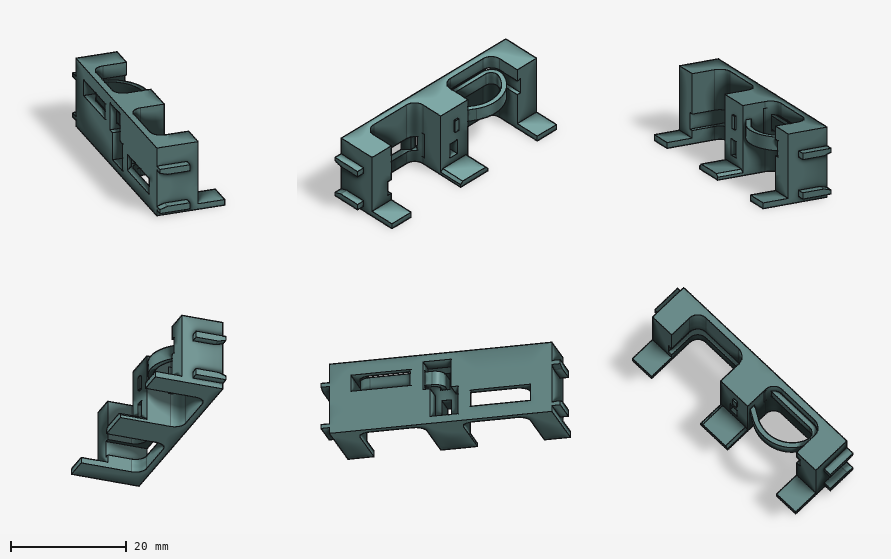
import cadquery as cq
import math

overall_length = 42.7
overall_depth = 12.5
height = 12.85
mid_z = height / 2

body_length = 39.7
body_depth = 7.6
front_wall = 1.25
side_leg_width = 4.65
middle_leg_width = 6.58
bay_corner_radius = 2.0
bay_width = (body_length - middle_leg_width) / 2 - side_leg_width
bay_center_x = (middle_leg_width + bay_width) / 2

foot_thickness = 1.05
middle_foot_chamfer = 0.5

tab_width = (overall_length - body_length) / 2
tab_length = 5.55
tab_thickness = 1.15
tab_bottom_z = foot_thickness
upper_tab_top_z = 9.45
tab_lead_length = 1.4
tab_lead_drop = 0.43

opening_height = 3.0
opening_offset_z = 2.48
window_length = 10.6
window_center_x = 10.7

pocket_width = 5.0
pocket_height = 5.12
pocket_depth = 3.5
pocket_offset_x = 0.65
pin_slot_width = 1.7
pin_slot_offset_x = 0.13
blind_slot_skin = 0.85

strip_thickness = 0.9
strip_height = 2.48
pin_right_x = 0.1
pin_tip_overhang = 0.3
pin_bend_outer_radius = 1.92
spring_left_x = -15.15
corner_outer_radius = 2.2
loop_outer_radius = 6.95
loop_top_y = 8.9
arm_slope = math.radians(30)
arm_embed = 0.43


def box(x_min, x_max, y_min, y_max, z_min, z_max):
    """Block between the given limits."""
    size = (x_max - x_min, y_max - y_min, z_max - z_min)
    return cq.Workplane("XY").box(*size, centered=False).translate((x_min, y_min, z_min))


def opening(center_x, width, y_min, y_max, side):
    """Opening above mid height for side -1, below it for side +1."""
    center_z = mid_z - side * opening_offset_z
    return box(
        center_x - width / 2, center_x + width / 2, y_min, y_max,
        center_z - opening_height / 2, center_z + opening_height / 2,
    )


def make_body():
    """Block with two bays open to the back, rounded where they meet the front wall."""
    body = box(-body_length / 2, body_length / 2, 0, body_depth, 0, height)
    for side in (-1, 1):
        bay = box(
            -bay_width / 2, bay_width / 2, front_wall, overall_depth, 0, height
        ).edges("|Z and <Y").fillet(bay_corner_radius)
        body = body.cut(bay.translate((side * bay_center_x, 0, 0)))
    return body


def make_feet():
    """Flat feet behind the legs; the middle one has chamfered top edges."""
    leg_back = body_depth
    side_start = body_length / 2 - side_leg_width
    feet = box(side_start, body_length / 2, leg_back, overall_depth, 0, foot_thickness)
    feet = feet.union(feet.mirror("YZ"))
    half_middle = middle_leg_width / 2
    middle_foot = box(-half_middle, half_middle, leg_back, overall_depth, 0, foot_thickness)
    middle_foot = middle_foot.edges("|Y and >Z").chamfer(middle_foot_chamfer)
    return feet.union(middle_foot)


def make_tabs():
    """Two tabs per end, with lead-in slopes on the faces that look at each other."""
    lower_top_z = tab_bottom_z + tab_thickness
    upper_bottom_z = upper_tab_top_z - tab_thickness
    lower_outline = [
        (0, tab_bottom_z), (tab_length, tab_bottom_z), (tab_length, lower_top_z),
        (tab_lead_length, lower_top_z), (0, lower_top_z - tab_lead_drop),
    ]
    upper_outline = [
        (0, upper_tab_top_z), (tab_length, upper_tab_top_z), (tab_length, upper_bottom_z),
        (tab_lead_length, upper_bottom_z), (0, upper_bottom_z + tab_lead_drop),
    ]
    end_plane = cq.Workplane("YZ", origin=(body_length / 2, 0, 0))
    tabs = end_plane.polyline(lower_outline).close().extrude(tab_width)
    tabs = tabs.union(end_plane.polyline(upper_outline).close().extrude(tab_width))
    return tabs.union(tabs.mirror("YZ"))


def cut_half(body, side):
    """Cut the window, its relief, pocket half, pin slot and strip slot of one side."""
    window = opening(side * window_center_x, window_length, 0, body_depth, side)
    pocket_x = side * pocket_offset_x
    pocket_z = mid_z - side * pocket_height / 2
    pocket = box(
        pocket_x - pocket_width / 2, pocket_x + pocket_width / 2, 0, pocket_depth,
        pocket_z - pocket_height / 2, pocket_z + pocket_height / 2,
    )
    window_end_x = window_center_x - window_length / 2
    relief = (
        cq.Workplane("XY", origin=(0, 0, mid_z - side * opening_offset_z - opening_height / 2))
        .polyline([
            (side * window_end_x, 0),
            (side * window_end_x, front_wall),
            (side * (window_end_x - front_wall), front_wall),
        ])
        .close()
        .extrude(opening_height)
    )
    slot_end = body_depth if side > 0 else body_depth - blind_slot_skin
    pin_slot = opening(side * pin_slot_offset_x, pin_slot_width, pocket_depth, slot_end, side)
    strip_slot_length = window_center_x - pocket_offset_x
    strip_slot = opening(
        side * (pocket_offset_x + strip_slot_length / 2), strip_slot_length,
        front_wall, front_wall + strip_thickness, side,
    )
    return body.cut(window).cut(relief).cut(pocket).cut(pin_slot).cut(strip_slot)


def make_spring():
    """Strip swept along its centre line: pin, leg, corner, loop and free arm."""
    half = strip_thickness / 2
    pin_x = pin_right_x - half
    pin_tip_y = body_depth + pin_tip_overhang
    leg_y = front_wall + half
    bend_radius = pin_bend_outer_radius - half
    corner_radius = corner_outer_radius - half
    loop_radius = loop_outer_radius - half

    bend_x = pin_x - bend_radius
    bend_y = leg_y + bend_radius
    corner_x = spring_left_x + corner_outer_radius
    corner_y = leg_y + corner_radius
    loop_y = loop_top_y - loop_outer_radius
    center_gap = loop_radius - corner_radius
    tangent_angle = math.pi - math.asin((corner_y - loop_y) / center_gap)
    loop_x = corner_x - center_gap * math.cos(tangent_angle)

    def on_circle(x, y, radius, angle):
        return (x + radius * math.cos(angle), y + radius * math.sin(angle))

    arm_angle = math.pi / 2 - arm_slope
    corner_mid_angle = (tangent_angle + 1.5 * math.pi) / 2
    arm_start = on_circle(loop_x, loop_y, loop_radius, arm_angle)
    arm_end_x = arm_embed - middle_leg_width / 2
    arm_end = (arm_end_x, arm_start[1] - (arm_end_x - arm_start[0]) * math.tan(arm_slope))

    strip_z = mid_z + opening_offset_z
    path = (
        cq.Workplane("XY", origin=(0, 0, strip_z))
        .moveTo(pin_x, pin_tip_y)
        .lineTo(pin_x, bend_y)
        .threePointArc(on_circle(bend_x, bend_y, bend_radius, -math.pi / 4), (bend_x, leg_y))
        .lineTo(corner_x, leg_y)
        .threePointArc(
            on_circle(corner_x, corner_y, corner_radius, corner_mid_angle),
            on_circle(corner_x, corner_y, corner_radius, tangent_angle),
        )
        .threePointArc(
            on_circle(loop_x, loop_y, loop_radius, (tangent_angle + arm_angle) / 2),
            arm_start,
        )
        .lineTo(*arm_end)
    )
    section = cq.Workplane("XZ", origin=(pin_x, pin_tip_y, strip_z))
    return section.rect(strip_thickness, strip_height).sweep(path)


body = make_body().union(make_feet()).union(make_tabs())
for side in (-1, 1):
    body = cut_half(body, side)

result = body.union(make_spring())